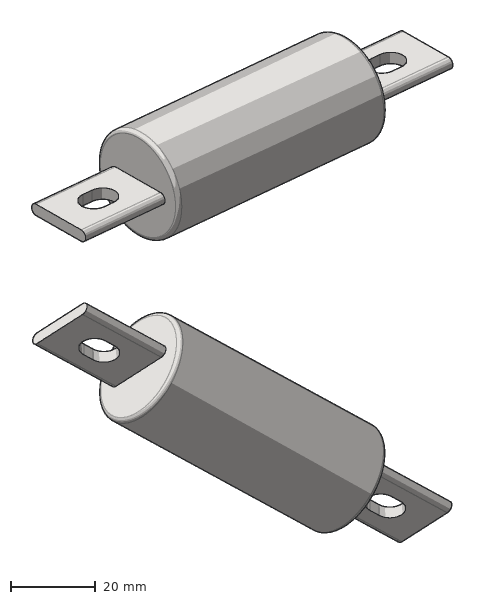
import cadquery as cq

overall_length = 117.5
body_diameter = 28.5
body_length = 66.7
body_edge_radius = 1.0

blade_width = 19.0
blade_thickness = 3.2

slot_width = 7.5
slot_length = 10.5
slot_offset = 46.0


def make_body():
    """Solid cylinder with rounded rims at both ends."""
    return (
        cq.Workplane("XZ", origin=(0, body_length / 2, 0))
        .circle(body_diameter / 2)
        .extrude(body_length)
        .edges("%CIRCLE")
        .fillet(body_edge_radius)
    )


def make_blade():
    """Bar of rounded section spanning the whole part, showing as a terminal at each end."""
    return (
        cq.Workplane("XZ", origin=(0, overall_length / 2, 0))
        .slot2D(blade_width, blade_thickness)
        .extrude(overall_length)
    )


def make_mounting_slots():
    """Cutters for the slots through the two terminals."""
    return (
        cq.Workplane("XY")
        .pushPoints([(0, -slot_offset), (0, slot_offset)])
        .slot2D(slot_length, slot_width, angle=90)
        .extrude(blade_thickness, both=True)
    )


result = make_body().union(make_blade()).cut(make_mounting_slots())